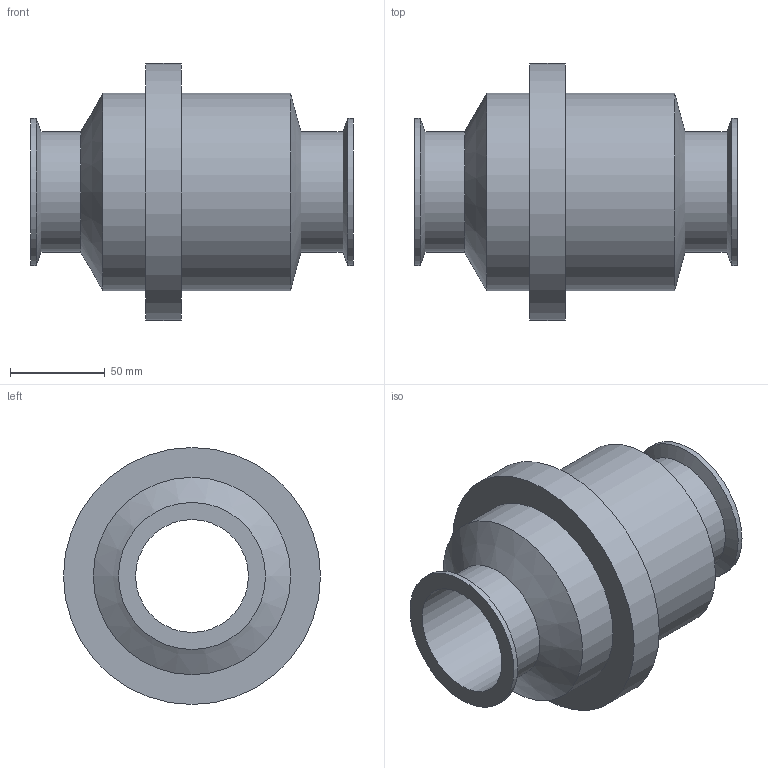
import cadquery as cq
import math

length = 170.0

bore_diameter = 59.5
tube_diameter = 63.5
ferrule_diameter = 77.5
body_diameter = 104.0
collar_diameter = 135.5

ferrule_rim = 2.85
ferrule_taper_angle = 20.0

inlet_cone_start = 26.25
inlet_cone_angle = 60.0
collar_start = 60.6
collar_width = 18.75
outlet_cone_start = 137.0
outlet_cone_angle = 75.0

bore_radius = bore_diameter / 2
tube_radius = tube_diameter / 2
ferrule_radius = ferrule_diameter / 2
body_radius = body_diameter / 2
collar_radius = collar_diameter / 2

ferrule_taper = (ferrule_radius - tube_radius) * math.tan(math.radians(ferrule_taper_angle))
ferrule_depth = ferrule_rim + ferrule_taper
cone_rise = body_radius - tube_radius
inlet_cone_end = inlet_cone_start + cone_rise / math.tan(math.radians(inlet_cone_angle))
outlet_cone_end = outlet_cone_start + cone_rise / math.tan(math.radians(outlet_cone_angle))


def revolve_about_x(points):
    """Revolve a closed (x, radius) outline a full turn about the X axis."""
    return cq.Workplane("XY").polyline(points).close().revolve(360, (0, 0, 0), (1, 0, 0))


def make_fitting():
    """Housing with tapered ends, a central collar, two ferrules and a through bore."""
    outline = [
        (0, bore_radius),
        (0, ferrule_radius),
        (ferrule_rim, ferrule_radius),
        (ferrule_depth, tube_radius),
        (inlet_cone_start, tube_radius),
        (inlet_cone_end, body_radius),
        (collar_start, body_radius),
        (collar_start, collar_radius),
        (collar_start + collar_width, collar_radius),
        (collar_start + collar_width, body_radius),
        (outlet_cone_start, body_radius),
        (outlet_cone_end, tube_radius),
        (length - ferrule_depth, tube_radius),
        (length - ferrule_rim, ferrule_radius),
        (length, ferrule_radius),
        (length, bore_radius),
    ]
    return revolve_about_x(outline)


result = make_fitting()